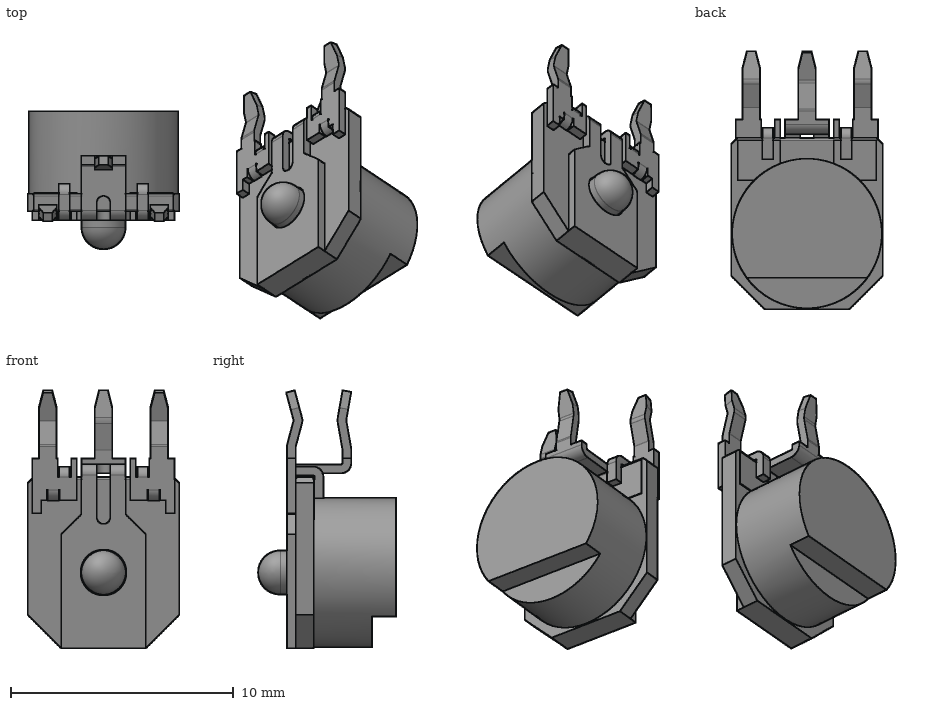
import cadquery as cq
import math

sheet = 0.4
body_front = sheet
body_back = 1.2
drum_back = 4.9
overall_height = 11.58

body_width = 6.8
body_half_width = body_width / 2
body_height = 7.69
body_top_chamfer = 0.27
top_edge_radius = 0.1
foot_half_width = 1.9
foot_chamfer = body_half_width - foot_half_width

axis_z = 3.4
drum_radius = 3.36
drum_flat_z = 1.42
drum_flat_depth = 1.08
dome_radius = 1.0
dome_tip = -1.3
dome_clearance_radius = 1.03

pad_thickness = 0.03
pad_inner_x = 1.19
pad_outer_x = 3.12
pad_bottom = 5.79

tight_radius = 0.02
centre_knee_radius = 0.4
fold_radius = 0.06
fold_outer = fold_radius + sheet
shoulder_z = 8.52
pin_width = 0.8
pin_tip_width = 0.4
pin_taper_length = 0.79
centre_pin_lean = -10
centre_pin_bend_z = 8.92
centre_pin_leg = 1.19
side_pin_lean = 15
side_pin_bend_z = 9.05
side_pin_leg = 1.09

neck_half_width = 1.0
neck_bottom = 6.01
wide_top = 5.12
arm_top = 8.26
centre_back = 2.9
slot_width = 0.6
slot_bottom = 5.58
slot_back = 1.1

side_inner_x = 1.19
side_outer_x = 3.2
side_bottom = 6.65
leg_inner_x = 2.8
leg_bottom = 6.06
side_pin_x = 2.5
hook_notch_inner_x = 1.45
hook_notch_outer_x = 2.05
hook_notch_bottom = body_height
hook_x = 1.76
hook_width = 0.49
hook_top = hook_notch_bottom + fold_outer
hook_bottom = 6.73
barb_x = 2.25
barb_notch_width = 0.58
barb_width = 0.49
barb_top = 7.11
barb_radius = 0.5


def box(x_range, y_range, z_range):
    size = [high - low for low, high in (x_range, y_range, z_range)]
    corner = (x_range[0], y_range[0], z_range[0])
    return cq.Workplane("XY").box(*size, centered=False).translate(corner)


def plate(points, y_front, y_back):
    """Extrude an (x, z) outline between two Y stations."""
    outline = cq.Workplane("XZ", origin=(0, y_front, 0)).polyline(points).close()
    return outline.extrude(y_front - y_back)


def mirrored_outline(right_side):
    return right_side + [(-x, z) for x, z in reversed(right_side)]


def both_sides(solid):
    return solid.union(solid.mirror("YZ"))


def strip_section(x, y, z, heading, width):
    """Cross-section of a strip; heading is in radians, from +Z towards +Y."""
    normal = (0, math.sin(heading), math.cos(heading))
    plane = cq.Plane(origin=(x, y, z), xDir=(1, 0, 0), normal=normal)
    return cq.Workplane(plane).rect(width, sheet)


def bent_strip(x, width, start, moves):
    """Sheet strip rising from the mid-thickness point start = (y, z).

    A move is a straight length, or a (turn, inner_radius) bend in degrees,
    positive towards +Y.  Returns the solid with its end point and heading.
    """
    y, z = start
    heading = 0.0
    strip = cq.Workplane("XY")
    for move in moves:
        section = strip_section(x, y, z, heading, width)
        if isinstance(move, tuple):
            turn, inner_radius = move
            side = math.copysign(1, turn)
            pivot = side * (inner_radius + sheet / 2)
            piece = section.revolve(abs(turn), (0, pivot, 0), (-side, pivot, 0))
            new_heading = heading + math.radians(turn)
            y += pivot * (math.cos(heading) - math.cos(new_heading))
            z += pivot * (math.sin(new_heading) - math.sin(heading))
            heading = new_heading
        else:
            piece = section.extrude(move)
            y += move * math.sin(heading)
            z += move * math.cos(heading)
        strip = strip.add(piece)
    return strip.combine(), (y, z), heading


def kinked_pin(x, y_middle, bend_z, lean, leg, knee_radius):
    """Pin that leans one way, turns back at a knee and ends in a tapered tip."""
    angle = math.radians(abs(lean))
    bend_rise = (tight_radius + sheet / 2) * math.sin(angle)
    knee_rise = 2 * (knee_radius + sheet / 2) * math.sin(angle)
    corner_rise = sheet / 2 * math.sin(angle)
    below_knee = bend_z + bend_rise + leg * math.cos(angle)
    upper_leg = (overall_height - below_knee - knee_rise - corner_rise) / math.cos(angle)
    moves = [
        bend_z - shoulder_z,
        (lean, tight_radius),
        leg,
        (-2 * lean, knee_radius),
        upper_leg - pin_taper_length,
    ]
    pin, (y, z), heading = bent_strip(x, pin_width, (y_middle, shoulder_z), moves)
    tip = (
        strip_section(x, y, z, heading, pin_width)
        .workplane(offset=pin_taper_length)
        .rect(pin_tip_width, sheet)
        .loft(ruled=True)
    )
    return pin.union(tip)


def make_body():
    outline = mirrored_outline([
        (foot_half_width, 0),
        (body_half_width, foot_chamfer),
        (body_half_width, body_height - body_top_chamfer),
        (body_half_width - body_top_chamfer, body_height),
    ])
    block = plate(outline, body_front, body_back)
    block = block.faces(">Z").edges("|X").fillet(top_edge_radius)
    pad = box((pad_inner_x, pad_outer_x), (body_back, body_back + pad_thickness),
              (pad_bottom, body_height - top_edge_radius))
    return block.union(both_sides(pad))


def make_drum():
    drum = (
        cq.Workplane("XZ", origin=(0, body_back, axis_z))
        .circle(drum_radius)
        .extrude(body_back - drum_back)
    )
    flat = box((-drum_radius, drum_radius), (drum_back - drum_flat_depth, drum_back), (0, drum_flat_z))
    return drum.cut(flat)


def make_dome():
    centre_y = dome_tip + dome_radius
    profile = (
        cq.Workplane("XY", origin=(0, 0, axis_z))
        .moveTo(0, dome_tip)
        .radiusArc((dome_radius, centre_y), -dome_radius)
        .lineTo(dome_radius, body_front)
        .lineTo(0, body_front)
        .close()
    )
    return profile.revolve(360, (0, 0, 0), (0, 1, 0))


def make_centre_contact():
    front = plate(mirrored_outline([
        (foot_half_width, 0),
        (foot_half_width, wide_top),
        (neck_half_width, neck_bottom),
    ]), 0, sheet)
    front = front.cut(
        cq.Workplane("XZ", origin=(0, 0, axis_z)).circle(dome_clearance_radius).extrude(-sheet)
    )
    arm_bottom = arm_top - sheet
    neck, _, _ = bent_strip(0, 2 * neck_half_width, (sheet / 2, neck_bottom), [
        arm_top - fold_outer - neck_bottom,
        (90, fold_radius),
        centre_back - 2 * fold_outer,
        (-90, fold_radius),
        shoulder_z - arm_bottom - fold_outer,
    ])

    slot_radius = slot_width / 2
    slot_half = (-slot_radius, slot_radius)
    slot_floor = cq.Workplane("XZ", origin=(0, 0, slot_bottom + slot_radius)).circle(slot_radius)
    slot = slot_floor.extrude(-sheet)
    slot = slot.union(box(slot_half, (0, sheet), (slot_bottom + slot_radius, arm_top)))
    arm_base = arm_bottom - fold_radius
    arm_end = cq.Workplane("XY", origin=(0, slot_back - slot_radius, arm_base)).circle(slot_radius)
    slot = slot.union(arm_end.extrude(arm_top - arm_base))
    slot = slot.union(box(slot_half, (0, slot_back - slot_radius), (arm_base, arm_top)))

    pin = kinked_pin(0, centre_back - sheet / 2, centre_pin_bend_z, centre_pin_lean,
                     centre_pin_leg, centre_knee_radius)
    return front.union(neck).cut(slot).union(pin)


def make_side_contact():
    blank = plate([
        (side_inner_x, side_bottom),
        (leg_inner_x, side_bottom),
        (leg_inner_x, leg_bottom),
        (side_outer_x, leg_bottom),
        (side_outer_x, shoulder_z),
        (hook_notch_outer_x, shoulder_z),
        (hook_notch_outer_x, hook_notch_bottom),
        (hook_notch_inner_x, hook_notch_bottom),
        (hook_notch_inner_x, shoulder_z),
        (side_inner_x, shoulder_z),
    ], 0, sheet)
    barb_notch = box((barb_x - barb_notch_width / 2, barb_x + barb_notch_width / 2),
                     (0, sheet), (side_bottom, barb_top))

    barb = (
        cq.Workplane("YZ", origin=(barb_x - barb_width / 2, 0, 0))
        .moveTo(0, barb_top)
        .radiusArc((barb_radius, barb_top - barb_radius), -barb_radius)
        .lineTo(barb_radius, barb_top)
        .close()
        .extrude(barb_width)
    )

    hook_back = body_back + pad_thickness + sheet
    hook, _, _ = bent_strip(hook_x, hook_width, (sheet / 2, hook_notch_bottom), [
        (90, fold_radius),
        hook_back - 2 * fold_outer,
        (90, fold_radius),
        hook_top - fold_outer - hook_bottom,
    ])

    pin = kinked_pin(side_pin_x, sheet / 2, side_pin_bend_z, side_pin_lean,
                     side_pin_leg, tight_radius)
    return blank.cut(barb_notch).union(barb).union(hook).union(pin)


result = (
    make_body()
    .union(make_drum())
    .union(make_centre_contact())
    .union(make_dome())
    .union(both_sides(make_side_contact()))
)